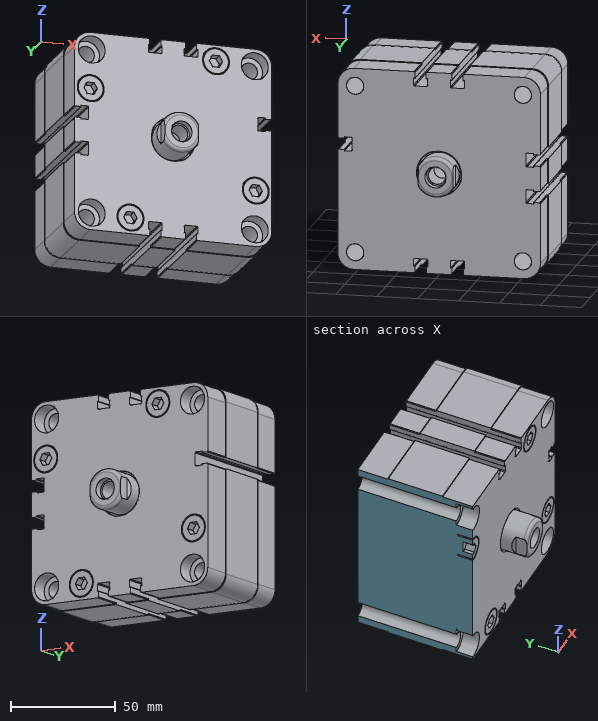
import cadquery as cq
import math

barrel_side = 100.0
cap_side = 99.2
corner_radius = 8.0
barrel_length = 29.0
cap_length = 16.0
body_length = barrel_length + 2 * cap_length
front_y = -body_length / 2
rear_y = body_length / 2
cut_clearance = 1.0

slot_offset = 9.0
single_slot_offset = 12.1
slot_width = 5.5
cavity_width = 6.8
cavity_chamfer = 0.45
cavity_top = 46.3
cavity_floor = 42.5
mouth_chamfer = 0.4

mount_offset = 41.0
mount_diameter = 8.38
mount_bore_diameter = 13.5
mount_bore_depth = 8.7

screw_count = 4
screw_offset_along = 21.5
screw_offset_out = 41.5
screw_bore_diameter = 13.5
screw_head_diameter = 12.5
screw_head_depth = 8.0
hex_across_flats = 5.8
hex_depth = 5.0

rod_diameter = 20.0
rod_front_projection = 13.0
rod_rear_projection = 8.0
rod_end_fillet = 1.8
rod_gap_diameter = 22.0
rod_gap_depth = 2.0
flats_width = 17.0
flats_length = 6.0
relief_diameter = 10.25
relief_depth = 4.0
thread_diameter = 8.57
thread_depth = 16.0
drill_point_angle = 118.0


def along_y(y):
    """Sketch plane at the given Y, facing +Y; sketch u is -X and sketch v is +Z."""
    return cq.Workplane(cq.Plane(origin=(0, y, 0), xDir=(-1, 0, 0), normal=(0, 1, 0)))


def disc(x, z, diameter, y, length):
    """Cylinder along Y that starts at y and runs toward +Y."""
    return along_y(y).center(-x, z).circle(diameter / 2).extrude(length)


def block(side, y, length):
    """Square slab with rounded corners."""
    return along_y(y).rect(side, side).extrude(length).edges("|Y").fillet(corner_radius)


def slot_cutter(centre, face_angle):
    """Undercut slot of the top face, turned about Y onto another face."""
    above = barrel_side / 2 + cut_clearance
    mouth = along_y(front_y).center(centre, (above + cavity_floor) / 2)
    cavity = along_y(front_y).center(centre, (cavity_top + cavity_floor) / 2)
    cutter = cavity.rect(cavity_width, cavity_top - cavity_floor).extrude(body_length)
    cutter = cutter.faces("<Z").edges("|Y").chamfer(cavity_chamfer)
    cutter = cutter.union(mouth.rect(slot_width, above - cavity_floor).extrude(body_length))
    for y in (front_y, rear_y - cap_length):
        cutter = cutter.union(mouth_cutter(centre, y))
    return cutter.rotate((0, 0, 0), (0, 1, 0), face_angle)


def mouth_cutter(centre, y):
    """Wedge that chamfers both edges of a slot mouth over one end cap."""
    top = cap_side / 2
    narrow = slot_width / 2
    wide = narrow + mouth_chamfer
    outline = [
        (centre - wide, top),
        (centre - narrow, top - mouth_chamfer),
        (centre + narrow, top - mouth_chamfer),
        (centre + wide, top),
    ]
    return along_y(y).polyline(outline).close().extrude(cap_length)


def cut_slots(body):
    top, right, bottom, left = 0, 90, 180, 270
    for face_angle in (top, bottom, left):
        for centre in (-slot_offset, slot_offset):
            body = body.cut(slot_cutter(centre, face_angle))
    return body.cut(slot_cutter(single_slot_offset, right))


def cut_mounting_holes(body):
    for x in (-mount_offset, mount_offset):
        for z in (-mount_offset, mount_offset):
            body = body.cut(disc(x, z, mount_diameter, front_y, body_length))
            body = body.cut(disc(x, z, mount_bore_diameter, front_y, mount_bore_depth))
    return body


def add_screws(body):
    """Four screws, each a quarter turn from the next, heads flush with the front face."""
    x, z = screw_offset_along, screw_offset_out
    hex_diameter = hex_across_flats / math.cos(math.pi / 6)
    for _ in range(screw_count):
        body = body.cut(disc(x, z, screw_bore_diameter, front_y, screw_head_depth))
        body = body.union(disc(x, z, screw_head_diameter, front_y, screw_head_depth))
        body = body.cut(along_y(front_y).center(-x, z).polygon(6, hex_diameter).extrude(hex_depth))
        x, z = z, -x
    return body


def flat_cutter(end_y, inward):
    """Flat on the +X side of one rod end, running out at 45 degrees."""
    half_flats = flats_width / 2
    beyond = rod_diameter / 2 + cut_clearance
    runout = beyond - half_flats
    flat_end = end_y + inward * flats_length
    return (
        cq.Workplane("XY")
        .workplane(offset=-rod_diameter)
        .polyline([
            (half_flats, end_y),
            (half_flats, flat_end),
            (beyond, flat_end + inward * runout),
            (beyond, end_y),
        ])
        .close()
        .extrude(2 * rod_diameter)
    )


def end_bore(end_y, inward):
    """Relieved tapped hole with a drill point, revolved about Y."""
    point_length = thread_diameter / 2 / math.tan(math.radians(drill_point_angle / 2))
    profile = [
        (0, end_y),
        (relief_diameter / 2, end_y),
        (relief_diameter / 2, end_y + inward * relief_depth),
        (thread_diameter / 2, end_y + inward * relief_depth),
        (thread_diameter / 2, end_y + inward * thread_depth),
        (0, end_y + inward * (thread_depth + point_length)),
    ]
    return cq.Workplane("XY").polyline(profile).close().revolve(360, (0, 0, 0), (0, 1, 0))


def piston_rod():
    start = front_y - rod_front_projection
    end = rear_y + rod_rear_projection
    rod = disc(0, 0, rod_diameter, start, end - start).faces("<Y or >Y").edges().fillet(rod_end_fillet)
    for end_y, inward in ((start, 1), (end, -1)):
        flat = flat_cutter(end_y, inward)
        rod = rod.cut(flat).cut(flat.mirror("YZ"))
        rod = rod.cut(end_bore(end_y, inward))
    return rod


def make_body():
    body = block(barrel_side, -barrel_length / 2, barrel_length)
    body = body.union(block(cap_side, front_y, cap_length))
    body = body.union(block(cap_side, rear_y - cap_length, cap_length))
    body = cut_slots(body)
    body = cut_mounting_holes(body)
    return add_screws(body)


def add_rod(body):
    """Rod standing in a shallow annular gap in each cap, and fused with the body between them."""
    for y in (front_y, rear_y - rod_gap_depth):
        body = body.cut(disc(0, 0, rod_gap_diameter, y, rod_gap_depth))
    body = body.cut(disc(0, 0, rod_diameter, front_y, body_length))
    return body.union(piston_rod())


result = add_rod(make_body())